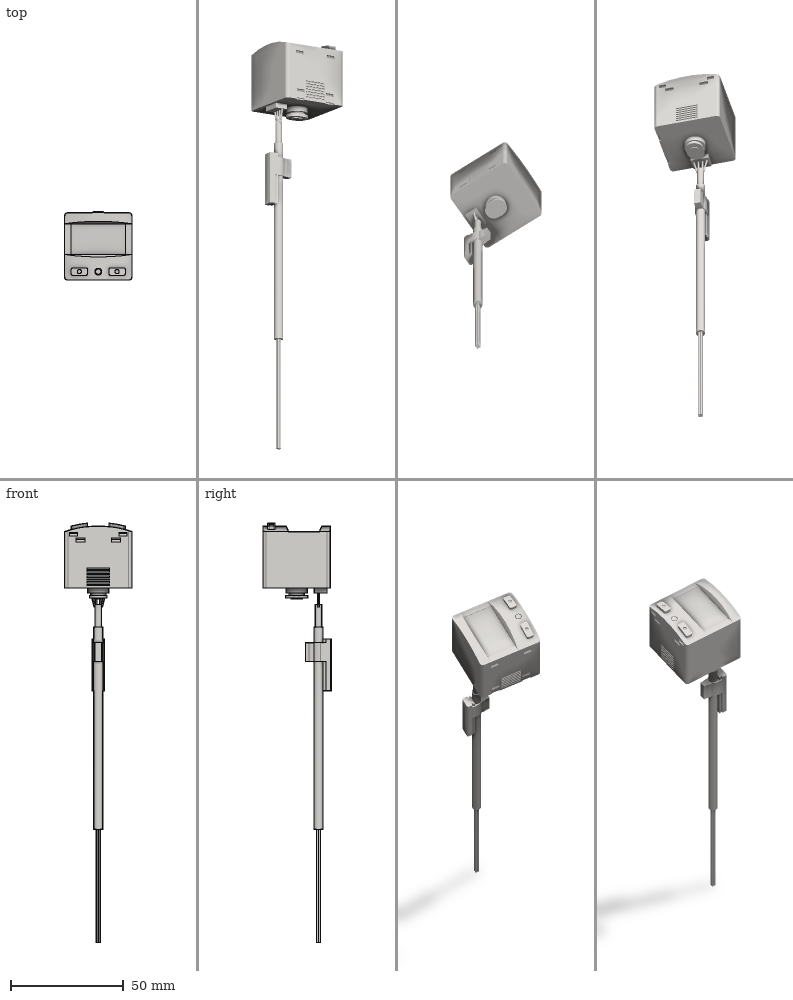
import cadquery as cq

HOUSING_SIDE = 30.0
HOUSING_CORNER_R = 1.5
HALF_SIDE = HOUSING_SIDE / 2
CROWN_EDGE_Z = 25.1
CROWN_PEAK_Z = 27.5
CROWN_RISE = CROWN_PEAK_Z - CROWN_EDGE_Z
CROWN_R = (HALF_SIDE**2 + CROWN_RISE**2) / (2 * CROWN_RISE)
CROWN_CENTER_Z = CROWN_PEAK_Z - CROWN_R

TROUGH_FRONT_Y = -3.5
TROUGH_REAR_Y = 10.0
TROUGH_WALL_RUN = 1.1
DISPLAY_LENGTH = 24.0
DISPLAY_DEPTH = 0.2

KEY_ROW_Y = -11.2
KEY_X = 8.4
KEY_LENGTH = 7.3
KEY_WIDTH = 3.4
KEY_CORNER_R = 0.7
KEY_TOP_Z = 28.9
KEY_DIMPLE_D = 1.9
KEY_DIMPLE_DEPTH = 0.5
KEY_INNER_X = KEY_X - KEY_LENGTH / 2
BUTTON_D = 2.5
BUTTON_GAP_D = 3.0
BUTTON_GAP_DEPTH = 1.0

SLOT_DEPTH = 1.0
SLOT_HEIGHT = 1.7
SLOT_BACK_HEIGHT = 0.5
SLOT_WIDTH = 4.0
UPPER_SLOT_Z = 20.5
SIDE_SLOT_OFFSET = 8.2
FRONT_SLOT_OFFSET = 7.8
CORNER_SLOT_OFFSET = 11.0
CORNER_SLOT_WIDTH = 3.4
CORNER_SLOT_Z = 23.0
LOWER_SLOT_OFFSET = 7.6
LOWER_SLOT_Z = 3.0
FOOT_NOTCH_HEIGHT = 0.5

VENT_WIDTH = 9.9
VENT_BOTTOM_Z = 1.1
VENT_PITCH = 1.21
VENT_GROOVE_HEIGHT = 0.6
VENT_GROOVES = 7
VENT_DEPTH = 0.5

COLLAR_D = 9.5
COLLAR_HEIGHT = 2.2
NECK_D = 6.9
NECK_HEIGHT = 1.0
FLANGE_LENGTH = 10.0
FLANGE_WIDTH = 7.8
FLANGE_HEIGHT = 1.3
STUB_LENGTH = 5.0
STUB_WIDTH = 4.0
STUB_HEIGHT = 0.4

CABLE_Y = 9.7
PLUG_WIDTH = 8.2
PLUG_FRONT_Y = 7.8
PLUG_REAR_Y = 13.6
PLUG_HEIGHT = 2.2
LEAD_D = 0.8
INNER_LEAD_X = 1.0
OUTER_LEAD_TOP_X = 3.0
OUTER_LEAD_END_X = 1.5
LEAD_END_Z = -8.4
CORE_D = 3.0
CORE_TOP_Z = -7.3
JACKET_D = 4.1
JACKET_TOP_Z = -17.3
JACKET_END_Z = -107.0
TAIL_D = 0.95
TAIL_OFFSET = 0.48
OVERALL_LENGTH = 186.2
TAIL_END_Z = KEY_TOP_Z - OVERALL_LENGTH

CLIP_WIDTH = 5.4
CLIP_TOP_Z = -24.2
CLIP_BOTTOM_Z = -32.5
PLATE_TOP_Z = -22.5
PLATE_BOTTOM_Z = -45.6
PLATE_FRONT_Y = 13.0
PLATE_OVERHANG = 0.5
PLATE_REAR_Y = HALF_SIDE + PLATE_OVERHANG
PLATE_CHAMFER = 0.5
RIB_FRONT_WIDTH = 5.0
RIB_ROOT_WIDTH = 3.4
BAND_SIDE_END_Y = 10.6
BAND_BULGE_X = 2.5
BAND_BULGE_Y = 9.1
NECK_X = 1.77
NECK_Y = 7.8
GRIP_BULGE_Y = 6.7
GRIP_HALF_WIDTH = 1.5
GRIP_BACK_Y = 5.5
GRIP_FRONT_Y = 4.0


def cylinder_down(diameter, x, y, top_z, bottom_z):
    """Vertical cylinder from a top height down to a bottom height."""
    return cq.Workplane("XY", origin=(x, y, bottom_z)).circle(diameter / 2).extrude(top_z - bottom_z)


def box_between(x_range, y_range, z_range):
    """Box given by its limits along each axis."""
    lows, highs = zip(x_range, y_range, z_range)
    sizes = [high - low for low, high in zip(lows, highs)]
    return cq.Workplane("XY").box(*sizes, centered=False).translate(lows)


def crown_z(x):
    """Height of the crown at a distance from the middle."""
    return CROWN_CENTER_Z + (CROWN_R**2 - x**2) ** 0.5


def crowned_box():
    return (
        cq.Workplane("XZ", origin=(0, HALF_SIDE, 0))
        .moveTo(-HALF_SIDE, 0)
        .lineTo(HALF_SIDE, 0)
        .lineTo(HALF_SIDE, CROWN_EDGE_Z)
        .threePointArc((0, CROWN_PEAK_Z), (-HALF_SIDE, CROWN_EDGE_Z))
        .close()
        .extrude(HOUSING_SIDE)
        .edges("|Z")
        .fillet(HOUSING_CORNER_R)
    )


def display_trough():
    """Cutter for the trough and the shallow display window in its floor."""
    trough = (
        cq.Workplane("YZ", origin=(-HALF_SIDE, 0, 0))
        .polyline([
            (TROUGH_FRONT_Y, CROWN_EDGE_Z),
            (TROUGH_REAR_Y, CROWN_EDGE_Z),
            (TROUGH_REAR_Y + TROUGH_WALL_RUN, CROWN_PEAK_Z),
            (TROUGH_FRONT_Y - TROUGH_WALL_RUN, CROWN_PEAK_Z),
        ])
        .close()
        .extrude(HOUSING_SIDE)
    )
    window = box_between(
        (-DISPLAY_LENGTH / 2, DISPLAY_LENGTH / 2),
        (TROUGH_FRONT_Y, TROUGH_REAR_Y),
        (CROWN_EDGE_Z - DISPLAY_DEPTH, CROWN_EDGE_Z),
    )
    return trough.union(window)


def key_bar(x):
    """Rounded bar whose top follows the crown at a constant height above it."""
    bar = (
        cq.Workplane("XY", origin=(x, KEY_ROW_Y, CROWN_EDGE_Z))
        .rect(KEY_LENGTH, KEY_WIDTH)
        .extrude(KEY_TOP_Z - CROWN_EDGE_Z)
        .edges("|Z")
        .fillet(KEY_CORNER_R)
    )
    key_height = KEY_TOP_Z - crown_z(KEY_INNER_X)
    crown_cap = (
        cq.Workplane("XZ", origin=(0, KEY_ROW_Y + KEY_WIDTH, CROWN_CENTER_Z + key_height))
        .circle(CROWN_R)
        .extrude(2 * KEY_WIDTH)
    )
    dimple_top_z = crown_z(x) + key_height
    dimple = cylinder_down(KEY_DIMPLE_D, x, KEY_ROW_Y, KEY_TOP_Z, dimple_top_z - KEY_DIMPLE_DEPTH)
    return bar.intersect(crown_cap).cut(dimple)


def button_gap():
    """Ring-shaped gap that leaves a round button flush with the crown."""
    return (
        cq.Workplane("XY", origin=(0, KEY_ROW_Y, CROWN_PEAK_Z - BUTTON_GAP_DEPTH))
        .circle(BUTTON_GAP_D / 2)
        .circle(BUTTON_D / 2)
        .extrude(BUTTON_GAP_DEPTH)
    )


def front_slot(offset, bottom_z, width):
    """Slot cutter in the -Y wall; its floor slopes out and down from a short back wall."""
    return (
        cq.Workplane("YZ", origin=(offset - width / 2, -HALF_SIDE, bottom_z))
        .polyline([
            (0, 0),
            (SLOT_DEPTH, SLOT_HEIGHT - SLOT_BACK_HEIGHT),
            (SLOT_DEPTH, SLOT_HEIGHT),
            (0, SLOT_HEIGHT),
        ])
        .close()
        .extrude(width)
    )


def foot_notch(offset):
    """Notch cutter in the -Y wall at the bottom edge, below a lower slot."""
    return box_between(
        (offset - SLOT_WIDTH / 2, offset + SLOT_WIDTH / 2),
        (-HALF_SIDE, -HALF_SIDE + SLOT_DEPTH),
        (0, FOOT_NOTCH_HEIGHT),
    )


def vent_groove(index):
    """One horizontal vent groove in the -Y wall."""
    bottom_z = VENT_BOTTOM_Z + index * VENT_PITCH
    return box_between(
        (-VENT_WIDTH / 2, VENT_WIDTH / 2),
        (-HALF_SIDE, -HALF_SIDE + VENT_DEPTH),
        (bottom_z, bottom_z + VENT_GROOVE_HEIGHT),
    )


def turned_to_left_wall(cutter):
    """Moves a cutter made for the -Y wall to the -X wall."""
    return cutter.rotate((0, 0, 0), (0, 0, 1), -90)


def obround(length, width, top_z, height):
    """Round-ended plate, long along Y."""
    return cq.Workplane("XY", origin=(0, 0, top_z)).slot2D(length, width, 90).extrude(-height)


def port_boss():
    neck_top_z = -COLLAR_HEIGHT
    flange_top_z = neck_top_z - NECK_HEIGHT
    stub_top_z = flange_top_z - FLANGE_HEIGHT
    return (
        cylinder_down(COLLAR_D, 0, 0, 0, neck_top_z)
        .union(cylinder_down(NECK_D, 0, 0, neck_top_z, flange_top_z))
        .union(obround(FLANGE_LENGTH, FLANGE_WIDTH, flange_top_z, FLANGE_HEIGHT))
        .union(obround(STUB_LENGTH, STUB_WIDTH, stub_top_z, STUB_HEIGHT))
    )


def make_housing():
    housing = crowned_box().cut(display_trough()).cut(button_gap())
    for side in (-1, 1):
        housing = housing.union(key_bar(side * KEY_X))
        housing = housing.cut(front_slot(side * CORNER_SLOT_OFFSET, CORNER_SLOT_Z, CORNER_SLOT_WIDTH))
        housing = housing.cut(front_slot(side * FRONT_SLOT_OFFSET, UPPER_SLOT_Z, SLOT_WIDTH))
        left_wall_cutters = [
            front_slot(side * SIDE_SLOT_OFFSET, UPPER_SLOT_Z, SLOT_WIDTH),
            front_slot(side * LOWER_SLOT_OFFSET, LOWER_SLOT_Z, SLOT_WIDTH),
            foot_notch(side * LOWER_SLOT_OFFSET),
        ]
        for cutter in left_wall_cutters:
            housing = housing.cut(turned_to_left_wall(cutter))
    for index in range(VENT_GROOVES):
        groove = vent_groove(index)
        housing = housing.cut(groove).cut(turned_to_left_wall(groove))
    return housing.union(port_boss())


def lead(top_x, end_x):
    """Straight round wire from the plug down to the cable core."""
    top = cq.Vector(top_x, CABLE_Y, -PLUG_HEIGHT)
    run = cq.Vector(end_x, CABLE_Y, LEAD_END_Z) - top
    overlap = run.normalized() * LEAD_D
    length = run.Length + LEAD_D
    return cq.Workplane(cq.Solid.makeCylinder(LEAD_D / 2, length, top - overlap, run))


def make_cable():
    plug = box_between(
        (-PLUG_WIDTH / 2, PLUG_WIDTH / 2),
        (PLUG_FRONT_Y, PLUG_REAR_Y),
        (-PLUG_HEIGHT, 0),
    )
    cable = (
        plug.union(cylinder_down(CORE_D, 0, CABLE_Y, CORE_TOP_Z, JACKET_TOP_Z))
        .union(cylinder_down(JACKET_D, 0, CABLE_Y, JACKET_TOP_Z, JACKET_END_Z))
    )
    for side in (-1, 1):
        cable = (
            cable.union(lead(side * INNER_LEAD_X, side * INNER_LEAD_X))
            .union(lead(side * OUTER_LEAD_TOP_X, side * OUTER_LEAD_END_X))
        )
        for tail_y in (CABLE_Y - TAIL_OFFSET, CABLE_Y + TAIL_OFFSET):
            tail = cylinder_down(TAIL_D, side * TAIL_OFFSET, tail_y, JACKET_END_Z, TAIL_END_Z)
            cable = cable.union(tail)
    return cable


def clip_band():
    """Band with straight sides that curve in to a neck, then to a narrow parallel grip."""
    half_width = CLIP_WIDTH / 2
    right_half = (
        cq.Workplane("XY", origin=(0, 0, CLIP_BOTTOM_Z))
        .moveTo(0, PLATE_FRONT_Y)
        .lineTo(half_width, PLATE_FRONT_Y)
        .lineTo(half_width, BAND_SIDE_END_Y)
        .threePointArc((BAND_BULGE_X, BAND_BULGE_Y), (NECK_X, NECK_Y))
        .threePointArc((NECK_X, GRIP_BULGE_Y), (GRIP_HALF_WIDTH, GRIP_BACK_Y))
        .lineTo(GRIP_HALF_WIDTH, GRIP_FRONT_Y)
        .lineTo(0, GRIP_FRONT_Y)
        .close()
        .extrude(CLIP_TOP_Z - CLIP_BOTTOM_Z)
    )
    return right_half.union(right_half.mirror("YZ"))


def dovetail_rib():
    """Full-height rib between plate and jacket, wider at the jacket."""
    front_y = CABLE_Y + JACKET_D / 2
    return (
        cq.Workplane("XY", origin=(0, 0, PLATE_BOTTOM_Z))
        .polyline([
            (-RIB_FRONT_WIDTH / 2, front_y),
            (RIB_FRONT_WIDTH / 2, front_y),
            (RIB_ROOT_WIDTH / 2, PLATE_FRONT_Y),
            (-RIB_ROOT_WIDTH / 2, PLATE_FRONT_Y),
        ])
        .close()
        .extrude(PLATE_TOP_Z - PLATE_BOTTOM_Z)
    )


def make_clip():
    half_width = CLIP_WIDTH / 2
    plate = (
        box_between((-half_width, half_width), (PLATE_FRONT_Y, PLATE_REAR_Y), (PLATE_BOTTOM_Z, PLATE_TOP_Z))
        .edges("|Z and >Y")
        .chamfer(PLATE_CHAMFER)
    )
    bore = cylinder_down(JACKET_D, 0, CABLE_Y, CLIP_TOP_Z, CLIP_BOTTOM_Z)
    return plate.union(dovetail_rib()).union(clip_band()).cut(bore)


housing = make_housing()
cable = make_cable()
clip = make_clip()

result = cq.Compound.makeCompound([housing.val(), cable.val(), clip.val()])